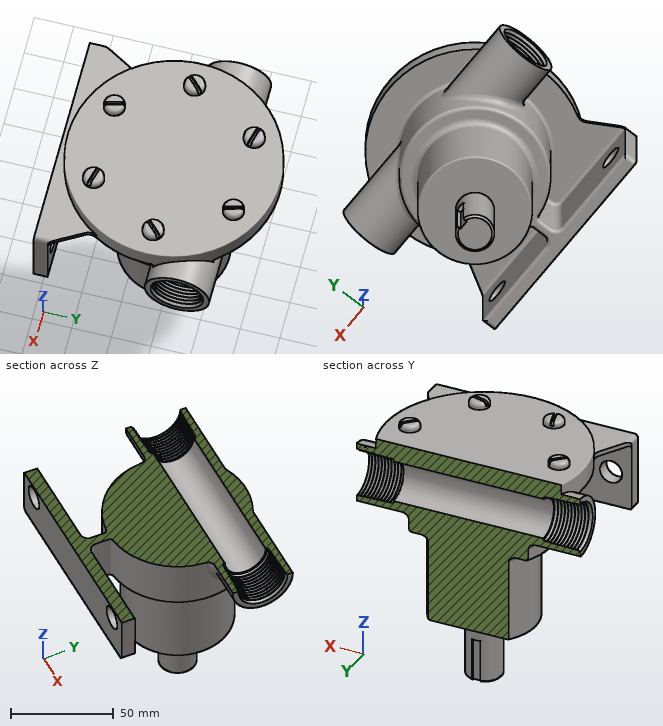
import cadquery as cq
import math

SHAFT_END_Z = -80.4
HUB_END_Z = -47.1
FLANGE_BOTTOM_Z = 37.3
PLATE_TOP_Z = 39.8
COVER_BOTTOM_Z = 45.15
COVER_TOP_Z = 47.9
OVERALL_HEIGHT = 131.72
SCREW_HEAD_HEIGHT = SHAFT_END_Z + OVERALL_HEIGHT - COVER_TOP_Z

SHAFT_RADIUS = 9.525
SHAFT_CHAMFER = 1.2
KEYWAY_WIDTH = 4.76
KEYWAY_DEPTH = 2.4
KEYWAY_LENGTH = 23.6
HUB_RADIUS = 28.1
HUB_EDGE_FILLET = 0.9
HUB_ROOT_FILLET = 3.2
BODY_RADIUS = 37.1
FLANGE_RADIUS = 53.7
COVER_EDGE_FILLET = 0.4
CAST_FILLET = 1.8

SCREW_COUNT = 6
SCREW_CIRCLE_RADIUS = 40.8
SCREW_HEAD_RADIUS = 5.3
SCREW_HEAD_FILLET = 2.1
SLOT_WIDTH = 1.6
SLOT_DEPTH = 2.0
SLOT_TURN = 45.0

OVERALL_DEPTH = 110.38
PLATE_BACK_Y = FLANGE_RADIUS - OVERALL_DEPTH
PLATE_THICKNESS = 7.2
PLATE_FRONT_Y = PLATE_BACK_Y + PLATE_THICKNESS
PLATE_HALF_WIDTH = 55.8
PLATE_CORNER_RADIUS = 2.2
MOUNT_HOLE_X = 44.5
MOUNT_HOLE_Z = 19.4
MOUNT_HOLE_RADIUS = 6.05
GUSSET_SLOPE = 60.0
GUSSET_FILLET = 5.8
RIB_HALF_THICKNESS = 2.5
RIB_PLATE_FILLET = 4.0

OVERALL_WIDTH = 122.46
PORT_HALF_LENGTH = OVERALL_WIDTH / 2
PORT_Y = 17.2
PORT_Z = 26.3
PORT_RADIUS = 16.3
PORT_ROOT_FILLET = 3.2
BORE_RADIUS = 11.0
MOUTH_RADIUS = 13.3
THREAD_START_RADIUS = 12.5
MOUTH_DEPTH = 2.0
MM_PER_INCH = 25.4
THREADS_PER_INCH = 14
THREAD_PITCH = MM_PER_INCH / THREADS_PER_INCH
THREAD_TURNS = 10
THREAD_TAPER = 1 / 32
THREAD_DEPTH = 0.5

SELECT_MARGIN = 0.05
SELECT_CLEARANCE = 1.0
PROBE_DEPTH = 0.5
PROBE_TOLERANCE = 1e-4


def cylinder(radius, z_bottom, z_top):
    return cq.Workplane("XY").workplane(offset=z_bottom).circle(radius).extrude(z_top - z_bottom)


def gusset():
    """Flat web from the plate to the flange, necking in to blend with the round flange rim."""
    slope = math.radians(GUSSET_SLOPE)
    along = (-math.cos(slope), math.sin(slope))
    outward = (math.sin(slope), math.cos(slope))
    start_x = PLATE_HALF_WIDTH + GUSSET_FILLET * outward[0]
    start_y = PLATE_FRONT_Y + GUSSET_FILLET * outward[1]
    projection = start_x * along[0] + start_y * along[1]
    centre_distance = FLANGE_RADIUS + GUSSET_FILLET
    side_length = -projection - math.sqrt(projection**2 - start_x**2 - start_y**2 + centre_distance**2)
    centre_x = start_x + side_length * along[0]
    centre_y = start_y + side_length * along[1]
    slope_end = (centre_x - GUSSET_FILLET * outward[0], centre_y - GUSSET_FILLET * outward[1])
    rim_ratio = FLANGE_RADIUS / centre_distance
    rim_point = (centre_x * rim_ratio, centre_y * rim_ratio)
    rim_angle = math.atan2(-centre_y, -centre_x)
    slope_angle = math.atan2(-outward[1], -outward[0])
    middle = (rim_angle % math.tau + slope_angle % math.tau) / 2
    blend_middle = (
        centre_x + GUSSET_FILLET * math.cos(middle),
        centre_y + GUSSET_FILLET * math.sin(middle),
    )
    half = (
        cq.Workplane("XY")
        .workplane(offset=FLANGE_BOTTOM_Z)
        .moveTo(0, PLATE_BACK_Y)
        .lineTo(PLATE_HALF_WIDTH, PLATE_BACK_Y)
        .lineTo(PLATE_HALF_WIDTH, PLATE_FRONT_Y)
        .lineTo(*slope_end)
        .threePointArc(blend_middle, rim_point)
        .lineTo(0, rim_point[1])
        .close()
        .extrude(PLATE_TOP_Z - FLANGE_BOTTOM_Z)
    )
    return half.union(half.mirror("YZ"))


def edges_between(part, low_corner, high_corner):
    """Edges of a part whose centres lie inside a box."""
    return part.edges(cq.selectors.BoxSelector(low_corner, high_corner))


def block(width, y_low, y_high, height):
    """Box centred on X, standing on the body underside."""
    return (
        cq.Workplane("XY")
        .box(width, y_high - y_low, height, centered=(True, False, False))
        .translate((0, y_low, 0))
    )


def x_cylinder(radius):
    """Round bar along the port axis, running from port face to port face."""
    return (
        cq.Workplane("YZ")
        .center(PORT_Y, PORT_Z)
        .circle(radius)
        .extrude(PORT_HALF_LENGTH, both=True)
    )


def blend_flange_underside(casting):
    """Fillet every edge where a wall rises into the underside of the flange or gusset."""
    solid = casting.val()
    probe_drop = cq.Vector(0, 0, -PROBE_DEPTH)
    underside = edges_between(
        casting,
        (-FLANGE_RADIUS, PLATE_FRONT_Y - SELECT_MARGIN, FLANGE_BOTTOM_Z - SELECT_MARGIN),
        (FLANGE_RADIUS, FLANGE_RADIUS, FLANGE_BOTTOM_Z + SELECT_MARGIN),
    )
    wall_edges = [
        edge
        for edge in underside.vals()
        if solid.isInside(edge.positionAt(0.5) + probe_drop, PROBE_TOLERANCE)
    ]
    return casting.newObject(wall_edges).fillet(CAST_FILLET)


def plate_corner_waste():
    """Material outside the rounded corners of the mounting plate and gusset."""
    square = block(2 * PLATE_HALF_WIDTH, PLATE_BACK_Y, -BODY_RADIUS, PLATE_TOP_Z)
    return square.cut(square.edges("|Y").fillet(PLATE_CORNER_RADIUS))


def make_casting():
    """Round body with flange, rib, mounting plate and ports, blended at the inside corners."""
    casting = cylinder(BODY_RADIUS, 0, FLANGE_BOTTOM_Z)
    casting = casting.union(block(2 * RIB_HALF_THICKNESS, PLATE_FRONT_Y, 0, FLANGE_BOTTOM_Z))
    casting = casting.union(block(2 * PLATE_HALF_WIDTH, PLATE_BACK_Y, PLATE_FRONT_Y, PLATE_TOP_Z))
    casting = casting.union(gusset())
    casting = casting.union(cylinder(FLANGE_RADIUS, FLANGE_BOTTOM_Z, COVER_BOTTOM_Z))

    rib_reach = 2 * RIB_HALF_THICKNESS
    below_flange = FLANGE_BOTTOM_Z - SELECT_CLEARANCE
    casting = edges_between(
        casting,
        (-rib_reach, -BODY_RADIUS, SELECT_CLEARANCE),
        (rib_reach, -BODY_RADIUS + SELECT_CLEARANCE, below_flange),
    ).fillet(CAST_FILLET)
    casting = edges_between(
        casting,
        (-rib_reach, PLATE_FRONT_Y - SELECT_MARGIN, SELECT_CLEARANCE),
        (rib_reach, PLATE_FRONT_Y + SELECT_MARGIN, below_flange),
    ).fillet(RIB_PLATE_FILLET)

    casting = edges_between(
        casting,
        (-BODY_RADIUS, PLATE_FRONT_Y + 2 * SELECT_MARGIN, -SELECT_MARGIN),
        (BODY_RADIUS, BODY_RADIUS, SELECT_MARGIN),
    ).fillet(CAST_FILLET)

    casting = casting.union(x_cylinder(PORT_RADIUS))
    casting = (
        edges_between(casting, (-BODY_RADIUS, 0, 0), (BODY_RADIUS, BODY_RADIUS, below_flange))
        .edges("%BSPLINE")
        .fillet(PORT_ROOT_FILLET)
    )
    casting = blend_flange_underside(casting)
    return casting.cut(plate_corner_waste())


def make_hub():
    hub = cylinder(HUB_RADIUS, HUB_END_Z, 0).faces("<Z").edges().fillet(HUB_EDGE_FILLET)
    root_radius = HUB_RADIUS + HUB_ROOT_FILLET
    root = (
        cq.Workplane("XZ")
        .moveTo(0, 0)
        .lineTo(root_radius, 0)
        .radiusArc((HUB_RADIUS, -HUB_ROOT_FILLET), -HUB_ROOT_FILLET)
        .lineTo(0, -HUB_ROOT_FILLET)
        .close()
        .revolve(360, (0, 0, 0), (0, 1, 0))
    )
    return hub.union(root)


def make_shaft():
    shaft = cylinder(SHAFT_RADIUS, SHAFT_END_Z, HUB_END_Z).faces("<Z").edges().chamfer(SHAFT_CHAMFER)
    keyway = (
        cq.Workplane("XY")
        .workplane(offset=SHAFT_END_Z)
        .center(0, SHAFT_RADIUS)
        .rect(KEYWAY_WIDTH, 2 * KEYWAY_DEPTH)
        .extrude(KEYWAY_LENGTH)
    )
    return shaft.cut(keyway)


def make_cover():
    cover = cylinder(FLANGE_RADIUS, COVER_BOTTOM_Z, COVER_TOP_Z)
    return cover.faces(">Z").edges().fillet(COVER_EDGE_FILLET)


def make_screw_head(angle):
    """Rounded screw head with its slot, at the given angle round the cover."""
    top_z = COVER_TOP_Z + SCREW_HEAD_HEIGHT
    head = cylinder(SCREW_HEAD_RADIUS, COVER_TOP_Z, top_z).faces(">Z").edges().fillet(SCREW_HEAD_FILLET)
    slot = (
        cq.Workplane("XY")
        .workplane(offset=top_z - SLOT_DEPTH)
        .rect(2 * SCREW_HEAD_RADIUS, SLOT_WIDTH)
        .extrude(SLOT_DEPTH)
        .rotate((0, 0, 0), (0, 0, 1), SLOT_TURN)
    )
    head = head.cut(slot).translate((SCREW_CIRCLE_RADIUS, 0, 0))
    return head.rotate((0, 0, 0), (0, 0, 1), angle)


def mount_holes():
    return (
        cq.Workplane("XZ")
        .pushPoints([(-MOUNT_HOLE_X, MOUNT_HOLE_Z), (MOUNT_HOLE_X, MOUNT_HOLE_Z)])
        .circle(MOUNT_HOLE_RADIUS)
        .extrude(-2 * PLATE_BACK_Y, both=True)
        .intersect(block(2 * PLATE_HALF_WIDTH, PLATE_BACK_Y, -BODY_RADIUS, PLATE_TOP_Z))
    )


def port_thread():
    """Tapered thread space in the -X port: chamfered mouth, then one sawtooth groove per pitch."""
    mouth_x = -PORT_HALF_LENGTH
    profile = (
        cq.Workplane("XZ")
        .moveTo(mouth_x, 0)
        .lineTo(mouth_x, MOUTH_RADIUS)
        .lineTo(mouth_x + MOUTH_DEPTH, THREAD_START_RADIUS)
    )
    for turn in range(THREAD_TURNS):
        crest_x = mouth_x + MOUTH_DEPTH + turn * THREAD_PITCH
        crest_radius = THREAD_START_RADIUS - turn * THREAD_PITCH * THREAD_TAPER
        next_crest_radius = crest_radius - THREAD_PITCH * THREAD_TAPER
        profile = profile.lineTo(crest_x, crest_radius + THREAD_DEPTH)
        profile = profile.lineTo(crest_x + THREAD_PITCH, next_crest_radius)
    end_x = mouth_x + MOUTH_DEPTH + THREAD_TURNS * THREAD_PITCH
    profile = profile.lineTo(end_x, 0).close()
    return profile.revolve(360, (0, 0, 0), (1, 0, 0)).translate((0, PORT_Y, PORT_Z))


def build_pump():
    pump = make_casting().union(make_hub()).union(make_shaft()).union(make_cover())
    for index in range(SCREW_COUNT):
        pump = pump.union(make_screw_head(index * 360 / SCREW_COUNT))
    thread = port_thread()
    pump = pump.cut(mount_holes()).cut(x_cylinder(BORE_RADIUS))
    return pump.cut(thread).cut(thread.mirror("YZ"))


result = build_pump()